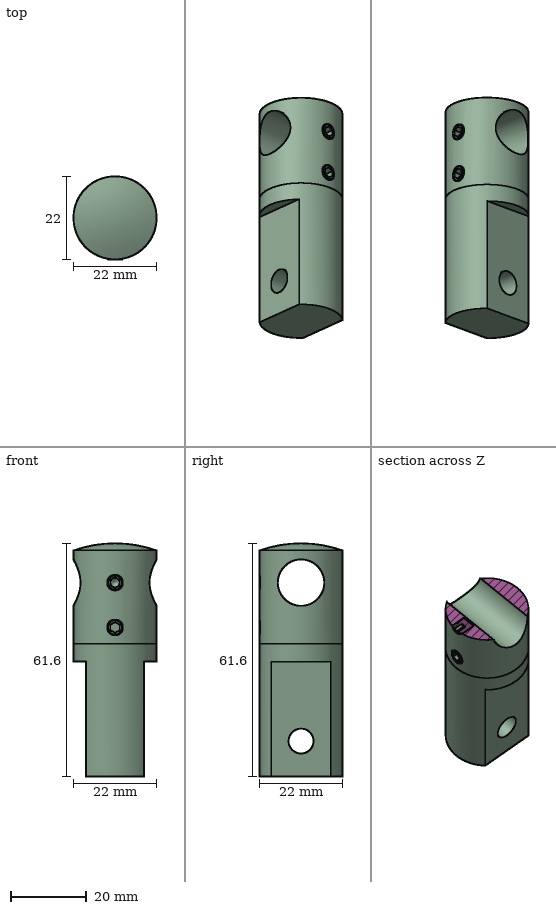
import cadquery as cq
import math

outer_diameter = 22.0
outer_radius = outer_diameter / 2
total_height = 61.6
dome_height = 1.9
joint_height = 35.05
bar_bore_diameter = 12.2
bar_bore_height = 51.2

tongue_thickness = 15.4
shoulder_height = 30.35
pin_hole_diameter = 6.5
pin_hole_height = 9.35

screw_diameter = 4.2
screw_length = 4.3
screw_chamfer = 0.25
screw_spacing = 11.8
hex_sides = 6
hex_across_flats = 2.45
hex_depth = 2.45
hex_tip_angle = 118.0
bar_screw_height = bar_bore_height
stem_screw_height = bar_screw_height - screw_spacing


def cross_hole(diameter, height):
    """Cylinder along X, long enough to pass right through the post."""
    return (
        cq.Workplane("YZ")
        .center(0, height)
        .circle(diameter / 2)
        .extrude(outer_radius, both=True)
    )


def screw_cylinder(height):
    """Plain cylinder of a set screw, its outer end level with the front of the head."""
    return (
        cq.Workplane("XZ", origin=(0, -outer_radius, height))
        .circle(screw_diameter / 2)
        .extrude(-screw_length)
    )


def hex_socket(height):
    """Hexagon with corners at top and bottom, running inward from the screw face."""
    across_corners = hex_across_flats / math.cos(math.pi / hex_sides)
    return (
        cq.Workplane("XZ", origin=(0, -outer_radius, height))
        .transformed(rotate=(0, 0, 90))
        .polygon(hex_sides, across_corners)
        .extrude(-hex_depth)
    )


def conical_socket(height):
    """Hex socket with a drilled cone in its floor, as wide as the hexagon's flats."""
    tip_radius = hex_across_flats / 2
    tip_depth = tip_radius / math.tan(math.radians(hex_tip_angle / 2))
    tip = (
        cq.Workplane("XY", origin=(0, hex_depth - outer_radius, height))
        .polyline([(0, 0), (tip_radius, 0), (0, tip_depth)])
        .close()
        .revolve(360, (0, 0, 0), (0, 1, 0))
    )
    return hex_socket(height).union(tip)


def set_screw(height, socket):
    """Screw with a chamfered outer rim and the given socket cut into its face."""
    return screw_cylinder(height).faces("<Y").chamfer(screw_chamfer).cut(socket)


def head_body(screw_heights):
    """Domed cylinder with the bar bore and one blind hole per set screw."""
    rim_height = total_height - dome_height
    dome_radius = (outer_radius**2 + dome_height**2) / (2 * dome_height)
    half_angle = math.asin(outer_radius / dome_radius) / 2
    dome_middle = (
        dome_radius * math.sin(half_angle),
        total_height - dome_radius * (1 - math.cos(half_angle)),
    )
    body = (
        cq.Workplane("XZ")
        .moveTo(0, joint_height)
        .lineTo(outer_radius, joint_height)
        .lineTo(outer_radius, rim_height)
        .threePointArc(dome_middle, (0, total_height))
        .close()
        .revolve(360, (0, 0, 0), (0, 1, 0))
    )
    body = body.cut(cross_hole(bar_bore_diameter, bar_bore_height))
    for height in screw_heights:
        body = body.cut(screw_cylinder(height))
    return body


def stem_body():
    """Round collar under the head, narrowing to a flat-sided tongue with a pin hole."""
    collar = (
        cq.Workplane("XY", origin=(0, 0, shoulder_height))
        .circle(outer_radius)
        .extrude(joint_height - shoulder_height)
    )
    flats = cq.Workplane("XY").box(
        tongue_thickness, outer_diameter, shoulder_height, centered=(True, True, False)
    )
    tongue = cq.Workplane("XY").circle(outer_radius).extrude(shoulder_height).intersect(flats)
    return collar.union(tongue).cut(cross_hole(pin_hole_diameter, pin_hole_height))


head = head_body([bar_screw_height, stem_screw_height])
stem = stem_body()
bar_screw = set_screw(bar_screw_height, conical_socket(bar_screw_height))
stem_screw = set_screw(stem_screw_height, hex_socket(stem_screw_height))

result = cq.Compound.makeCompound([head.val(), stem.val(), bar_screw.val(), stem_screw.val()])